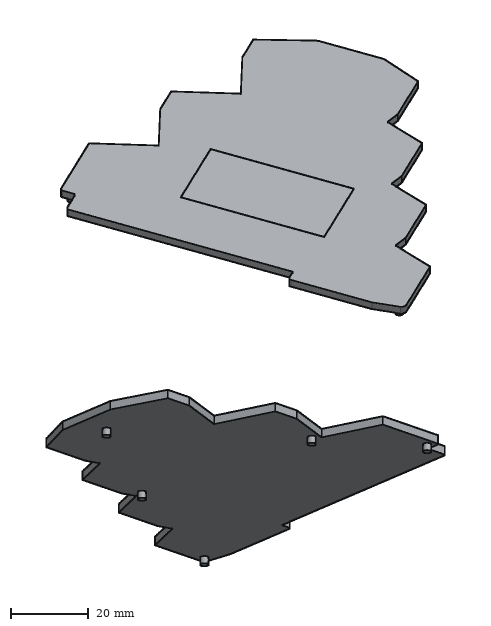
import cadquery as cq

length = 99.4
depth = 87.8
plate_thickness = 2.4
pin_height = 2.0

left_tip_y = 28.7
left_pitch_x = 11.9
left_pitch_y = 26.5
left_notch_dx = 16.9
left_notch_dy = 6.1
left_wall_dy = 19.1
right_tip_y = 18.5
right_pitch_x = 10.0
right_pitch_y = 21.6
right_notch_dx = 11.3
right_notch_dy = 4.1
right_wall_dy = 7.9
upper_steps = 2
right_steps = 3
top_left_x = 39.4
top_right_x = 57.9

left_step_x = 4.3
left_step_y = 9.2
base_y = 3.1
foot_x = 67.5
foot_taper_x = 90.8
foot_corner_y = 1.4
small_radius = 0.6
foot_radius = 1.5

label_length = 40.0
label_width = 20.1
label_center = (49.8, 28.6)
label_depth = 0.1

pin_diameter = 2.2
pin_centers = [(2.3, 11.3), (18.5, 36.8), (49.8, 79.7), (75.1, 44.7), (97.0, 3.5)]


def right_edge():
    """Stepped edge from the lowest right tip to the highest."""
    points = [(length, right_tip_y)]
    for step in range(right_steps):
        tip_x = length - step * right_pitch_x
        tip_y = right_tip_y + step * right_pitch_y
        next_x = tip_x - right_pitch_x
        next_y = tip_y + right_pitch_y
        points.append((tip_x - right_notch_dx, tip_y + right_notch_dy))
        points.append((next_x, tip_y + right_wall_dy))
        points.append((next_x, next_y))
    return points


def left_edge():
    """Stepped edge from the lowest left tip to the highest."""
    points = [(0, left_tip_y)]
    for step in range(upper_steps):
        tip_x = step * left_pitch_x
        tip_y = left_tip_y + step * left_pitch_y
        next_x = tip_x + left_pitch_x
        points.append((tip_x + left_notch_dx, tip_y + left_notch_dy))
        points.append((next_x, tip_y + left_wall_dy))
        points.append((next_x, tip_y + left_pitch_y))
    return points


def round_corner(body, corner, radius):
    """Fillet the upright plate edge at an outline corner."""
    position = (corner[0], corner[1], plate_thickness / 2)
    edge = cq.selectors.NearestToPointSelector(position)
    return body.edges("|Z").edges(edge).fillet(radius)


def make_plate():
    lower_edge = [
        (0, left_step_y),
        (left_step_x, left_step_y),
        (left_step_x, base_y),
        (foot_x, base_y),
        (foot_x, 0),
        (foot_taper_x, 0),
        (length, foot_corner_y),
    ]
    top_edge = [(top_right_x, depth), (top_left_x, depth)]
    outline = lower_edge + right_edge() + top_edge + left_edge()[::-1]
    plate = cq.Workplane("XY").polyline(outline).close().extrude(plate_thickness)
    for corner in lower_edge[:3] + [(foot_x, 0)]:
        plate = round_corner(plate, corner, small_radius)
    return round_corner(plate, (length, foot_corner_y), foot_radius)


def make_label_recess():
    return (
        cq.Workplane("XY", origin=(0, 0, plate_thickness - label_depth))
        .center(*label_center)
        .rect(label_length, label_width)
        .extrude(label_depth)
    )


def make_pins():
    return cq.Workplane("XY").pushPoints(pin_centers).circle(pin_diameter / 2).extrude(-pin_height)


result = make_plate().cut(make_label_recess()).union(make_pins())